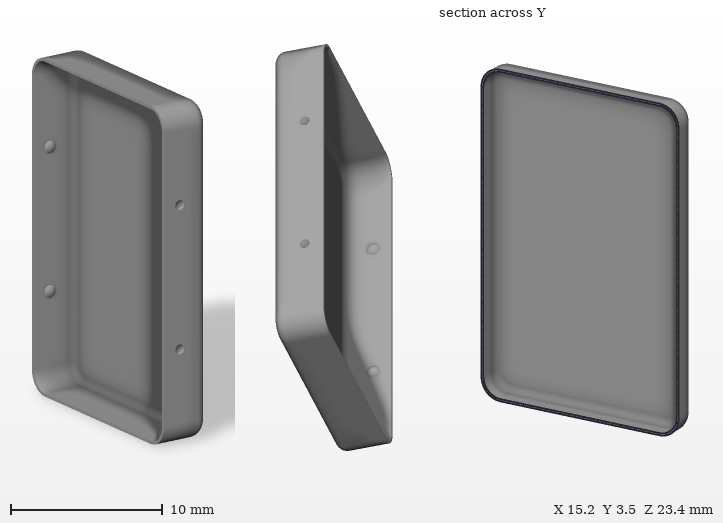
import cadquery as cq
import math

width = 15.2
depth = 3.5
height = 23.4
wall = 0.2
corner_radius = 1.5
back_edge_radius = 0.7

dent_radius = 0.4
centre_outside = 0.2
dimple_spacing = 10.0
dimple_from_rim = 1.3

bump_radius = dent_radius + wall
dimple_y = dimple_from_rim - depth / 2


def rounded_block(inset):
    """Block with rounded corners and back edge, inset from the outer faces but flush with the rim."""
    return (
        cq.Workplane("XY")
        .box(width - 2 * inset, depth - inset, height - 2 * inset)
        .translate((0, -inset / 2, 0))
        .edges("|Y")
        .fillet(corner_radius - inset)
        .faces(">Y")
        .edges()
        .fillet(back_edge_radius - inset)
    )


def right_cap(sphere_radius, plane_x, z):
    """Cap of the dimple sphere that lies on the interior side of plane_x, for the +X wall."""
    centre_x = width / 2 + centre_outside
    reach = centre_x - plane_x
    rim_radius = math.sqrt(sphere_radius**2 - reach**2)
    tip_x = centre_x - sphere_radius
    half_angle = math.atan2(rim_radius, reach) / 2
    mid_point = (
        centre_x - sphere_radius * math.cos(half_angle),
        dimple_y + sphere_radius * math.sin(half_angle),
    )
    return (
        cq.Workplane("XY")
        .moveTo(tip_x, dimple_y)
        .threePointArc(mid_point, (plane_x, dimple_y + rim_radius))
        .lineTo(plane_x, dimple_y)
        .close()
        .revolve(360, (tip_x, dimple_y), (plane_x, dimple_y))
        .translate((0, 0, z))
    )


def add_dimple_pair(body, z):
    """Raise bumps on both inner wall faces and sink matching dents in the outer ones."""
    bump = right_cap(bump_radius, width / 2 - wall, z)
    dent = right_cap(dent_radius, width / 2, z)
    body = body.union(bump).union(bump.mirror("YZ"))
    return body.cut(dent).cut(dent.mirror("YZ"))


result = rounded_block(0).cut(rounded_block(wall))
for z in (-dimple_spacing / 2, dimple_spacing / 2):
    result = add_dimple_pair(result, z)